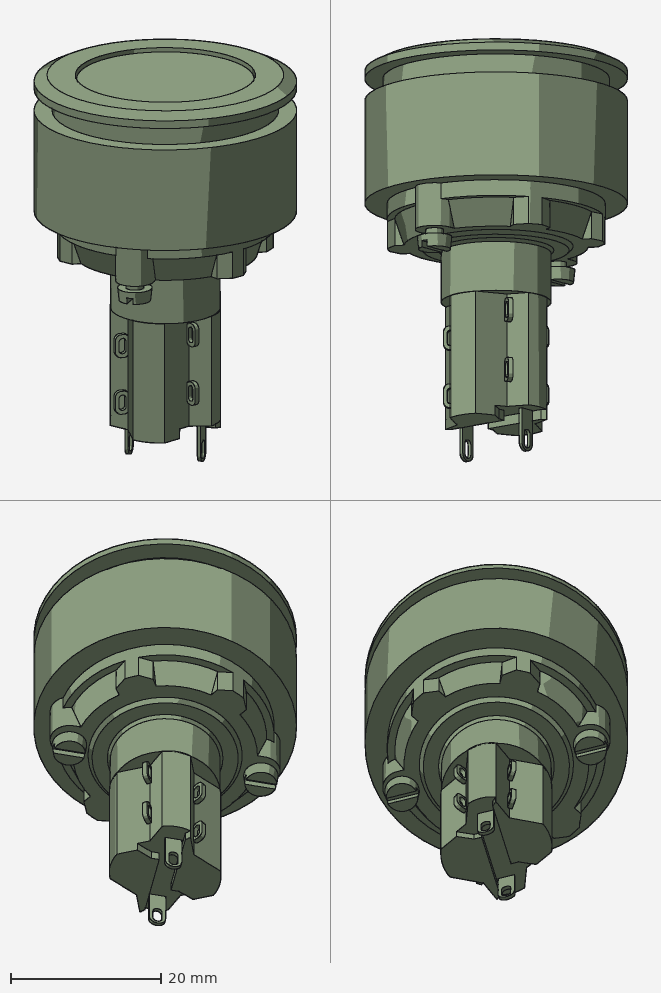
import cadquery as cq
import math


TOP_Z = 53.35
BEVEL_Z = 52.5
FLANGE_BOTTOM_Z = 51.4
DRUM_TOP_Z = 48.45
DRUM_BOTTOM_Z = 34.4
COLLAR_BOTTOM_Z = 32.25
CONE_BOTTOM_Z = 28.6
RIM_BOTTOM_Z = 28.05
STEM_TOP_Z = 27.65
BLOCK_TOP_Z = 20.95
CHANNEL_TOP_Z = 5.65
BLOCK_BOTTOM_Z = 4.3

DRUM_D = 34.95
BEVEL_TOP_D = 31.45
NECK_D = 30.15
COLLAR_D = 29.0
CONE_TOP_D = 27.0
CONE_BOTTOM_D = 24.55
RIM_TOP_D = 20.5
RIM_BOTTOM_D = 19.4
STEM_D = 14.6
STEM_BEVEL = 0.4

CAP_D = 23.6
CAP_RECESS_D = 23.95
CAP_BELOW_TOP = 0.55
CAP_THICKNESS = 2.65
CAP_TOP_Z = TOP_Z - CAP_BELOW_TOP
CAP_BOTTOM_Z = CAP_TOP_Z - CAP_THICKNESS

BOSS_R = 2.55
BOSS_CENTRE_R = 13.0
SHANK_D = 2.4
HEAD_TOP_D = 4.6
HEAD_BOTTOM_D = 4.2
HEAD_TOP_Z = STEM_TOP_Z
HEAD_BOTTOM_Z = 25.9
DRIVER_SLOT_WIDTH = 0.85
DRIVER_SLOT_DEPTH = 0.85

LUG_ANGLES = (30, 150, 210, 330)
LUG_WIDTH = 5.2
LUG_TIP_WIDTH = 1.9
LUG_SHOULDER_X = 13.25
LUG_TIP_R = COLLAR_D / 2

ARM_TIP_R = 7.45
ARM_CORNER_R = 7.35
X_ARM_HALF_WIDTH = 1.9
Y_ARM_HALF_WIDTH = 2.2
NOTCH_X = 4.25
NOTCH_Y = 3.0

CHANNEL_HALF_WIDTH = 1.35
FLARE_START_X = 6.55
POCKET_EDGE_X = 3.45
POCKET_EDGE_Y = 4.55
POCKET_FLOOR_X = 2.45
POCKET_BEND_Y = 2.4

TERMINAL_X = 5.05
TERMINAL_THICKNESS = 0.5
TERMINAL_WIDTH = 2.25
EYE_WIDTH = 1.25
EYE_HEIGHT = 2.5
EYE_CENTRE_Z = 1.65

TAB_WIDTH = 2.0
TAB_HEIGHT = 3.2
TAB_CORNER_R = 0.8
TAB_THICKNESS = 0.65
TAB_SLOT_WIDTH = 0.95
TAB_SLOT_HEIGHT = 2.15
TAB_EMBED = 0.15
HIGH_TABS_Z = (18.65, 10.5)
LOW_TABS_Z = (16.15, 8.25)
TAB_ANGLE_FROM_X = 35


def disc(diameter, bottom_z, top_z):
    """A disc on the button's axis."""
    return cq.Workplane("XY").workplane(offset=bottom_z).circle(diameter / 2).extrude(top_z - bottom_z)


def make_turned_body():
    """Flange, neck, drum, collar, cone, rim and stem, turned as one profile."""
    profile = [
        (0, TOP_Z),
        (BEVEL_TOP_D / 2, TOP_Z),
        (DRUM_D / 2, BEVEL_Z),
        (DRUM_D / 2, FLANGE_BOTTOM_Z),
        (NECK_D / 2, FLANGE_BOTTOM_Z),
        (NECK_D / 2, DRUM_TOP_Z),
        (DRUM_D / 2, DRUM_TOP_Z),
        (DRUM_D / 2, DRUM_BOTTOM_Z),
        (COLLAR_D / 2, DRUM_BOTTOM_Z),
        (COLLAR_D / 2, COLLAR_BOTTOM_Z),
        (CONE_TOP_D / 2, COLLAR_BOTTOM_Z),
        (CONE_BOTTOM_D / 2, CONE_BOTTOM_Z),
        (RIM_TOP_D / 2, CONE_BOTTOM_Z),
        (RIM_BOTTOM_D / 2, RIM_BOTTOM_Z),
        (STEM_D / 2 + STEM_BEVEL, RIM_BOTTOM_Z),
        (STEM_D / 2, STEM_TOP_Z),
        (STEM_D / 2, BLOCK_TOP_Z),
        (0, BLOCK_TOP_Z),
    ]
    return cq.Workplane("XZ").polyline(profile).close().revolve(360, (0, 0), (0, 1))


def make_boss_with_screw():
    """U-shaped boss on the +Y side, with the screw shank and slotted head below it."""
    boss_height = DRUM_BOTTOM_Z - CONE_BOTTOM_Z
    boss = (
        cq.Workplane("XY", origin=(0, 0, CONE_BOTTOM_Z))
        .moveTo(BOSS_R, RIM_TOP_D / 2)
        .lineTo(BOSS_R, BOSS_CENTRE_R)
        .threePointArc((0, BOSS_CENTRE_R + BOSS_R), (-BOSS_R, BOSS_CENTRE_R))
        .lineTo(-BOSS_R, RIM_TOP_D / 2)
        .close()
        .extrude(boss_height)
    )
    shank = disc(SHANK_D, HEAD_TOP_Z, CONE_BOTTOM_Z)
    head = (
        cq.Workplane("XY", origin=(0, 0, HEAD_BOTTOM_Z))
        .circle(HEAD_BOTTOM_D / 2)
        .workplane(offset=HEAD_TOP_Z - HEAD_BOTTOM_Z)
        .circle(HEAD_TOP_D / 2)
        .loft()
    )
    driver_slot = cq.Workplane("XY", origin=(0, 0, HEAD_BOTTOM_Z)).box(
        DRIVER_SLOT_WIDTH, HEAD_TOP_D, DRIVER_SLOT_DEPTH, centered=(True, True, False)
    )
    screw = shank.union(head).cut(driver_slot).translate((0, BOSS_CENTRE_R, 0))
    return boss.union(screw)


def make_lug():
    """Lug pointing along +X: two oblique faces and a tip flush with the collar."""
    inner_x = RIM_TOP_D / 2
    half_width = LUG_WIDTH / 2
    half_tip = LUG_TIP_WIDTH / 2
    tip_corner_x = math.sqrt(LUG_TIP_R**2 - half_tip**2)
    return (
        cq.Workplane("XY", origin=(0, 0, CONE_BOTTOM_Z))
        .moveTo(inner_x, -half_width)
        .lineTo(LUG_SHOULDER_X, -half_width)
        .lineTo(tip_corner_x, -half_tip)
        .threePointArc((LUG_TIP_R, 0), (tip_corner_x, half_tip))
        .lineTo(LUG_SHOULDER_X, half_width)
        .lineTo(inner_x, half_width)
        .close()
        .extrude(COLLAR_BOTTOM_Z - CONE_BOTTOM_Z)
    )


def make_block():
    """Switch block: arcs at the ends of its four arms and a V notch between neighbours."""
    arm_x = math.sqrt(ARM_CORNER_R**2 - X_ARM_HALF_WIDTH**2)
    arm_y = math.sqrt(ARM_CORNER_R**2 - Y_ARM_HALF_WIDTH**2)
    return (
        cq.Workplane("XY", origin=(0, 0, BLOCK_BOTTOM_Z))
        .moveTo(arm_x, -X_ARM_HALF_WIDTH)
        .threePointArc((ARM_TIP_R, 0), (arm_x, X_ARM_HALF_WIDTH))
        .lineTo(NOTCH_X, NOTCH_Y)
        .lineTo(Y_ARM_HALF_WIDTH, arm_y)
        .threePointArc((0, ARM_TIP_R), (-Y_ARM_HALF_WIDTH, arm_y))
        .lineTo(-NOTCH_X, NOTCH_Y)
        .lineTo(-arm_x, X_ARM_HALF_WIDTH)
        .threePointArc((-ARM_TIP_R, 0), (-arm_x, -X_ARM_HALF_WIDTH))
        .lineTo(-NOTCH_X, -NOTCH_Y)
        .lineTo(-Y_ARM_HALF_WIDTH, -arm_y)
        .threePointArc((0, -ARM_TIP_R), (Y_ARM_HALF_WIDTH, -arm_y))
        .lineTo(NOTCH_X, -NOTCH_Y)
        .close()
        .extrude(BLOCK_TOP_Z - BLOCK_BOTTOM_Z)
    )


def make_half_channel():
    """The +X half of the channel: flared on its +Y wall, opened into a pocket on its -Y side."""
    flare_y = CHANNEL_HALF_WIDTH + ARM_TIP_R - FLARE_START_X
    outline = [
        (0, CHANNEL_HALF_WIDTH),
        (FLARE_START_X, CHANNEL_HALF_WIDTH),
        (ARM_TIP_R, flare_y),
        (ARM_TIP_R, -POCKET_EDGE_Y),
        (POCKET_EDGE_X, -POCKET_EDGE_Y),
        (POCKET_FLOOR_X, -POCKET_BEND_Y),
        (POCKET_FLOOR_X, -CHANNEL_HALF_WIDTH),
        (0, -CHANNEL_HALF_WIDTH),
    ]
    depth = CHANNEL_TOP_Z - BLOCK_BOTTOM_Z
    return cq.Workplane("XY", origin=(0, 0, BLOCK_BOTTOM_Z)).polyline(outline).close().extrude(depth)


def make_terminal():
    """Flat terminal at +X, hanging from the channel, with a round tip and a slotted eye."""
    half_width = TERMINAL_WIDTH / 2
    return (
        cq.Workplane("YZ", origin=(TERMINAL_X - TERMINAL_THICKNESS / 2, 0, 0))
        .moveTo(-half_width, CHANNEL_TOP_Z)
        .lineTo(-half_width, half_width)
        .threePointArc((0, 0), (half_width, half_width))
        .lineTo(half_width, CHANNEL_TOP_Z)
        .close()
        .moveTo(0, EYE_CENTRE_Z)
        .slot2D(EYE_HEIGHT, EYE_WIDTH, 90)
        .extrude(TERMINAL_THICKNESS)
    )


def make_tab(side_x, side_y, height_z):
    """Slotted tab standing obliquely out of the notch on the given sides of X and Y."""
    tab = (
        cq.Workplane("XZ")
        .rect(TAB_WIDTH, TAB_HEIGHT)
        .extrude(TAB_THICKNESS / 2, both=True)
        .edges("|Y")
        .fillet(TAB_CORNER_R)
    )
    slot = cq.Workplane("XZ").slot2D(TAB_SLOT_HEIGHT, TAB_SLOT_WIDTH, 90).extrude(TAB_THICKNESS, both=True)
    direction = side_y * (TAB_ANGLE_FROM_X if side_x > 0 else 180 - TAB_ANGLE_FROM_X)
    return (
        tab.cut(slot)
        .translate((TAB_WIDTH / 2 - TAB_EMBED, 0, 0))
        .rotate((0, 0, 0), (0, 0, 1), direction)
        .translate((side_x * NOTCH_X, side_y * NOTCH_Y, height_z))
    )


def turned_about_axis(shape, angle):
    """The shape turned about the button's axis."""
    return shape.rotate((0, 0, 0), (0, 0, 1), angle)


def make_housing():
    """Everything but the cap, as one solid."""
    block = make_block()
    for half_turn in (0, 180):
        block = block.cut(turned_about_axis(make_half_channel(), half_turn))

    housing = make_turned_body().union(block)
    for half_turn in (0, 180):
        housing = housing.union(turned_about_axis(make_boss_with_screw(), half_turn))
        housing = housing.union(turned_about_axis(make_terminal(), half_turn))
    for angle in LUG_ANGLES:
        housing = housing.union(turned_about_axis(make_lug(), angle))
    for side_x in (-1, 1):
        for side_y in (-1, 1):
            tab_heights = LOW_TABS_Z if side_x == side_y else HIGH_TABS_Z
            for height_z in tab_heights:
                housing = housing.union(make_tab(side_x, side_y, height_z))

    return housing.cut(disc(CAP_RECESS_D, CAP_BOTTOM_Z, TOP_Z))


housing = make_housing()
cap = disc(CAP_D, CAP_BOTTOM_Z, CAP_TOP_Z)

result = cq.Compound.makeCompound([housing.val(), cap.val()])